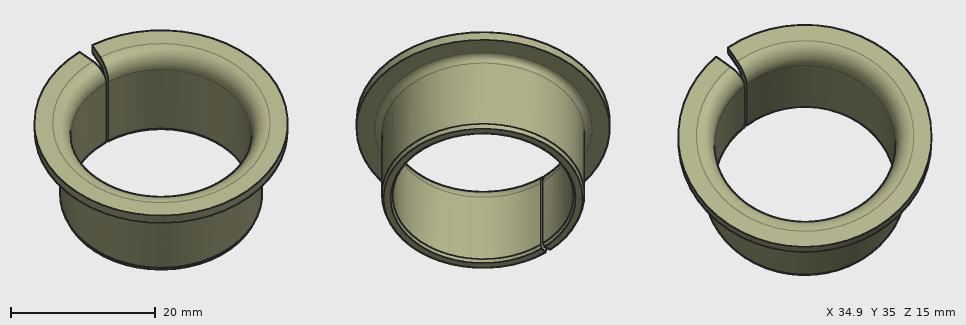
import cadquery as cq
import math

flange_diameter = 34.98
height = 15.0
wall = 1.5
body_radius = 14.0
outer_bend_radius = 1.0

bore_radius = body_radius - wall
inner_bend_radius = outer_bend_radius + wall
flange_radius = flange_diameter / 2
bend_center_r = body_radius + outer_bend_radius
bend_center_z = height - inner_bend_radius

lead_in_angle = 20.0
chamfer_height = 0.7
chamfer_depth = chamfer_height * math.tan(math.radians(lead_in_angle))
bore_chamfer_height = 0.5
bore_chamfer_depth = 0.28

gap_at_bore = 0.4
gap_side_angle = 10.0


def bend_point(radius):
    """Middle of a bend arc, at 45 degrees up and towards the axis."""
    offset = radius * math.sqrt(0.5)
    return bend_center_r - offset, bend_center_z + offset


def make_bushing():
    """Revolve the wall section, drawn as (radius, height) on the -X side, inside the split."""
    return (
        cq.Workplane(cq.Plane((0, 0, 0), xDir=(-1, 0, 0), normal=(0, 1, 0)))
        .moveTo(bore_radius, bore_chamfer_height)
        .lineTo(bore_radius + bore_chamfer_depth, 0)
        .lineTo(body_radius - chamfer_depth, 0)
        .lineTo(body_radius, chamfer_height)
        .lineTo(body_radius, bend_center_z)
        .threePointArc(bend_point(outer_bend_radius), (bend_center_r, height - wall))
        .lineTo(flange_radius, height - wall)
        .lineTo(flange_radius, height)
        .lineTo(bend_center_r, height)
        .threePointArc(bend_point(inner_bend_radius), (bore_radius, bend_center_z))
        .close()
        .revolve(360, (0, 0, 0), (0, 1, 0))
    )


def make_split():
    """Wedge that cuts the wall open over the full height."""
    slope = math.tan(math.radians(gap_side_angle))
    tip_r = bore_radius - gap_at_bore / 2 / slope
    end_r = flange_radius + wall
    end_half_width = (end_r - tip_r) * slope
    return (
        cq.Workplane("XY")
        .polyline([(-tip_r, 0), (-end_r, end_half_width), (-end_r, -end_half_width)])
        .close()
        .extrude(height)
    )


result = make_bushing().cut(make_split())